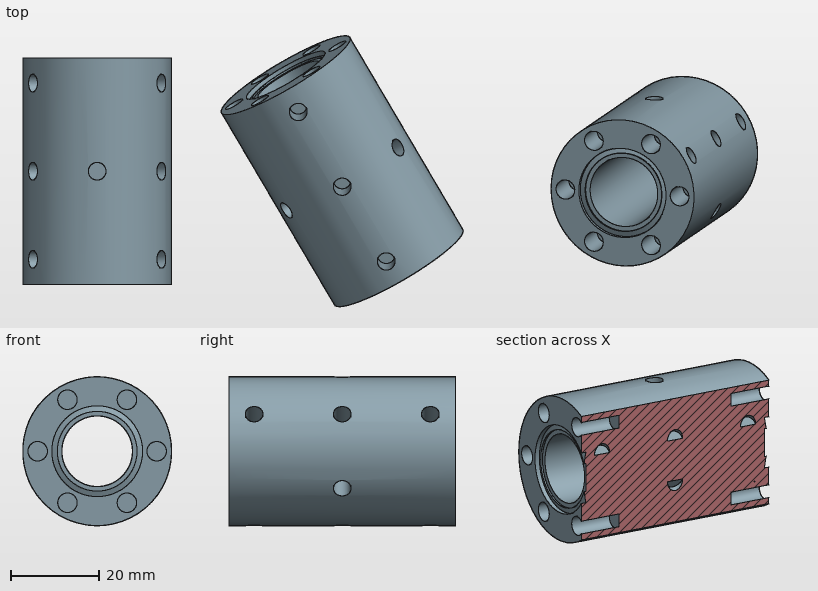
import cadquery as cq

length = 51.4
outer_diameter = 33.8
bore_diameter = 16.0

recess_diameter = 20.6
knife_diameter = 18.1
knife_tip_depth = 0.7
recess_depth = 1.2

bolt_hole_diameter = 4.4
bolt_circle_diameter = 27.0
bolt_hole_depth = 10.3
bolt_count = 6

side_hole_diameter = 4.0
side_hole_depth = 7.2
row_spacing = 20.0
middle_row_angles = (30, 90, 150, 210, 270, 330)
end_row_angles = (30, 150, 270)

outer_radius = outer_diameter / 2
half_length = length / 2


def end_plane(side):
    """Plane on an end face (side = -1 or +1 along Y), normal pointing into the tube."""
    return cq.Plane(origin=(0, side * half_length, 0), xDir=(1, 0, 0), normal=(0, -side, 0))


def tube():
    return (
        cq.Workplane(end_plane(-1))
        .circle(outer_radius)
        .circle(bore_diameter / 2)
        .extrude(length)
    )


def seal_seat(side):
    """Cutter for the recess; it leaves a ring with a straight inner wall and a sloped outer face."""
    seat_profile = (
        cq.Workplane("XY")
        .polyline([
            (0, half_length),
            (recess_diameter / 2, half_length),
            (recess_diameter / 2, half_length - recess_depth),
            (knife_diameter / 2, half_length - knife_tip_depth),
            (knife_diameter / 2, half_length - recess_depth),
            (0, half_length - recess_depth),
        ])
        .close()
    )
    cutter = seat_profile.revolve(360, (0, 0, 0), (0, 1, 0))
    return cutter if side > 0 else cutter.mirror("XZ")


def bolt_holes(side):
    return (
        cq.Workplane(end_plane(side))
        .polarArray(bolt_circle_diameter / 2, 0, 360, bolt_count)
        .circle(bolt_hole_diameter / 2)
        .extrude(bolt_hole_depth)
    )


def side_hole(y, angle):
    """Cutter for one radial hole; the angle is measured from +X towards +Z."""
    return (
        cq.Workplane("YZ", origin=(outer_radius - side_hole_depth, y, 0))
        .circle(side_hole_diameter / 2)
        .extrude(side_hole_depth)
        .rotate((0, 0, 0), (0, 1, 0), -angle)
    )


result = tube()

for side in (-1, 1):
    result = result.cut(seal_seat(side)).cut(bolt_holes(side))

    for angle in end_row_angles:
        result = result.cut(side_hole(side * row_spacing, angle))

for angle in middle_row_angles:
    result = result.cut(side_hole(0, angle))